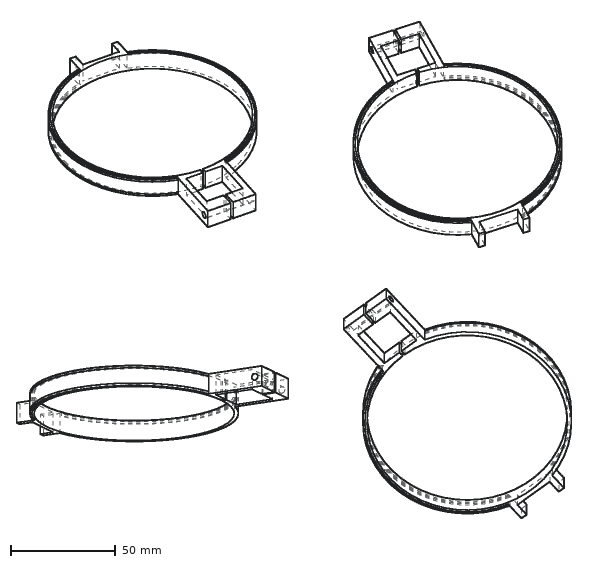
import cadquery as cq

ring_diameter = 100.0
wall = 2.0
height = 10.0
gap = 1.2

bead_width = 1.0
bead_height = 1.2

overall_length = 134.5
left_reach = 57.2
bracket_width = 26.4
opening = 19.9
slot_depth = 7.0
lug_thickness = 7.0

pin_diameter = 3.2
pin_inset = 3.8

ring_radius = ring_diameter / 2
bore_radius = ring_radius - wall
half_width = bracket_width / 2
half_gap = gap / 2
left_end = -left_reach
right_end = overall_length - left_reach
pin_x = right_end - pin_inset
top_bead_z = height / 2 - bead_height
bottom_bead_z = -height / 2


def block(x_start, x_end, y_start, y_end):
    """Full-height block between two corners, centred on Z = 0."""
    middle = ((x_start + x_end) / 2, (y_start + y_end) / 2, 0)
    return cq.Workplane("XY").box(x_end - x_start, y_end - y_start, height).translate(middle)


def cylinder(radius, z_bottom, length):
    """Upright cylinder on the ring axis."""
    return cq.Workplane("XY").workplane(offset=z_bottom).circle(radius).extrude(length)


def make_bead(side, z_bottom):
    """Arc-shaped bead outside the bracket, on the side = +1 or -1 half along Y."""
    outer = cylinder(ring_radius, z_bottom, bead_height)
    ring = outer.cut(cylinder(ring_radius - bead_width, z_bottom, bead_height))
    y_start, y_end = sorted((side * half_width, side * ring_radius))
    return ring.intersect(block(-ring_radius, ring_radius, y_start, y_end))


def make_pin(side):
    """Pin along Y that fills the bore of the lug on one side."""
    plane = cq.Plane(origin=(pin_x, side * half_gap, 0), xDir=(1, 0, 0), normal=(0, side, 0))
    return cq.Workplane(plane).circle(pin_diameter / 2).extrude(half_width - half_gap)


def make_clamp(inserts):
    """Split ring with open arms at -X, a clamping frame at +X and seats for the inserts."""
    frame_end = right_end - lug_thickness
    body = cylinder(ring_radius, -height / 2, height)
    body = body.union(block(left_end, right_end, -half_width, half_width))
    body = body.cut(cylinder(bore_radius, -height / 2, height))
    body = body.cut(block(left_end, left_end + slot_depth, -opening / 2, opening / 2))
    body = body.cut(block(frame_end - opening, frame_end, -opening / 2, opening / 2))
    body = body.cut(block(0, right_end, -half_gap, half_gap))
    for insert in inserts:
        body = body.cut(insert)
    return body


bead_places = [(-1, top_bead_z), (-1, bottom_bead_z), (1, top_bead_z)]
beads = [make_bead(side, z_bottom) for side, z_bottom in bead_places]
pins = [make_pin(side) for side in (-1, 1)]
clamp = make_clamp(beads + pins)

result = cq.Compound.makeCompound([clamp.val(), *(insert.val() for insert in beads + pins)])